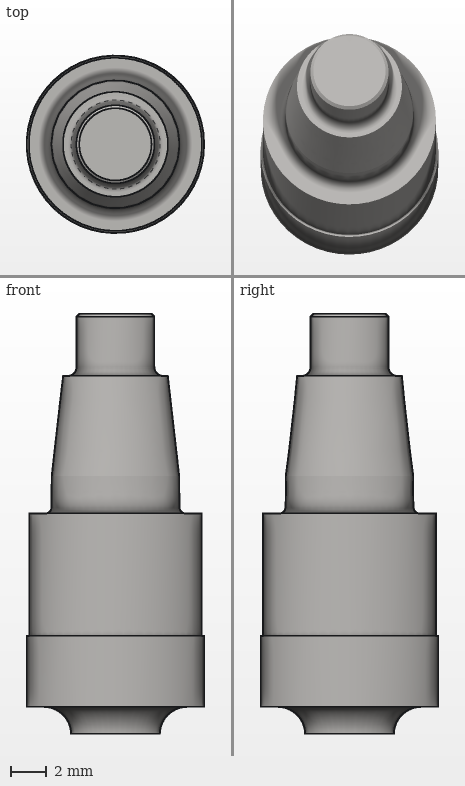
import cadquery as cq
import math

base_diameter = 9.98
base_radius = base_diameter / 2
nose_height = 1.5
base_top = 5.5
nose_tip_radius = 2.5

barrel_radius = 4.85
barrel_top = 12.4
shaft_radius = 3.6
shaft_fillet = 0.3
taper_start = 14.5
taper_start_radius = 3.59
taper_top = 20.1
taper_top_radius = 2.95
tip_radius = 2.2
tip_fillet = 0.5
tip_chamfer = 0.17
total_height = 23.6

arc_inset = 1 - math.sqrt(0.5)


def revolve_about_z(profile):
    """Turn a closed radius-height profile in the XZ plane around the Z axis."""
    return profile.close().revolve(360, (0, 0, 0), (0, 1, 0))


def concave_fillet(profile, wall_radius, floor, size):
    """Continue an inward-running floor with a quarter arc up onto a wall."""
    return profile.lineTo(wall_radius + size, floor).threePointArc(
        (wall_radius + arc_inset * size, floor + arc_inset * size),
        (wall_radius, floor + size),
    )


def make_base():
    nose_root_radius = nose_tip_radius + nose_height
    arc_middle = (
        nose_tip_radius + arc_inset * nose_height,
        nose_height * (1 - arc_inset),
    )
    profile = (
        cq.Workplane("XZ")
        .lineTo(nose_tip_radius, 0)
        .threePointArc(arc_middle, (nose_root_radius, nose_height))
        .lineTo(base_radius, nose_height)
        .lineTo(base_radius, base_top)
        .lineTo(0, base_top)
    )
    return revolve_about_z(profile)


def make_pin():
    profile = (
        cq.Workplane("XZ")
        .moveTo(0, base_top)
        .lineTo(barrel_radius, base_top)
        .lineTo(barrel_radius, barrel_top)
    )
    profile = concave_fillet(profile, shaft_radius, barrel_top, shaft_fillet)
    profile = profile.lineTo(taper_start_radius, taper_start).lineTo(taper_top_radius, taper_top)
    profile = concave_fillet(profile, tip_radius, taper_top, tip_fillet)
    profile = (
        profile.lineTo(tip_radius, total_height - tip_chamfer)
        .lineTo(tip_radius - tip_chamfer, total_height)
        .lineTo(0, total_height)
    )
    return revolve_about_z(profile)


base = make_base()
pin = make_pin()
result = cq.Compound.makeCompound([base.val(), pin.val()])